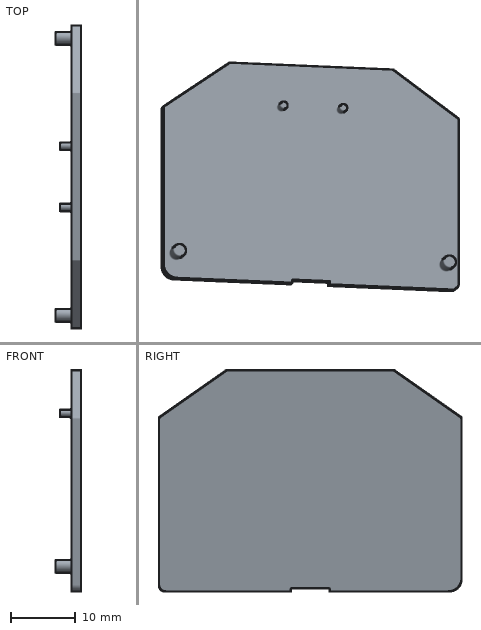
import cadquery as cq
import math

plate_thickness = 1.5
plate_width = 47.0
plate_height = 34.35
top_width = 26.0
shoulder_height = 27.0
shoulder_radius = 0.5
top_corner_radius = 0.2
large_corner_radius = 2.0
small_corner_radius = 1.0

notch_width = 6.0
notch_depth = 0.5
notch_radius = 0.2

large_peg_diameter = 2.0
large_peg_length = 2.5
large_peg_spacing = 43.0
large_peg_height = 3.9
small_peg_diameter = 1.2
small_peg_length = 1.8
small_peg_spacing = 9.5
small_peg_height = 27.65
peg_tip_radius = 0.2
peg_root_radius = 0.2

half_width = plate_width / 2
half_top = top_width / 2
half_notch = notch_width / 2

arc_middle_offset = 1 - math.sqrt(0.5)


def round_edges_at(body, y, z, radius):
    """Round the plate edge that runs along X through the point (y, z)."""
    edge = cq.selectors.NearestToPointSelector((plate_thickness / 2, y, z))
    return body.edges("|X").edges(edge).fillet(radius)


def make_plate():
    """Plate with sloped shoulders, a bottom notch and rounded corners."""
    body = (
        cq.Workplane("YZ")
        .moveTo(-half_width, 0)
        .lineTo(-half_notch, 0)
        .lineTo(-half_notch, notch_depth)
        .lineTo(half_notch, notch_depth)
        .lineTo(half_notch, 0)
        .lineTo(half_width, 0)
        .lineTo(half_width, shoulder_height)
        .lineTo(half_top, plate_height)
        .lineTo(-half_top, plate_height)
        .lineTo(-half_width, shoulder_height)
        .close()
        .extrude(plate_thickness)
    )
    body = round_edges_at(body, half_width, 0, large_corner_radius)
    body = round_edges_at(body, -half_width, 0, small_corner_radius)
    for side in (-1, 1):
        body = round_edges_at(body, side * half_width, shoulder_height, shoulder_radius)
        body = round_edges_at(body, side * half_top, plate_height, top_corner_radius)
        body = round_edges_at(body, side * half_notch, notch_depth, notch_radius)
    return body


def make_peg(diameter, length, y, z):
    """Peg pointing to -X, with a rounded tip and a concave fillet at its root."""
    radius = diameter / 2
    root_outer_radius = radius + peg_root_radius
    root_mid_offset = peg_root_radius * arc_middle_offset
    tip_mid_offset = peg_tip_radius * arc_middle_offset
    embed_depth = plate_thickness / 2
    section = (
        cq.Workplane("XZ")
        .moveTo(embed_depth, 0)
        .lineTo(embed_depth, root_outer_radius)
        .lineTo(0, root_outer_radius)
        .threePointArc((-root_mid_offset, radius + root_mid_offset), (-peg_root_radius, radius))
        .lineTo(peg_tip_radius - length, radius)
        .threePointArc((tip_mid_offset - length, radius - tip_mid_offset), (-length, radius - peg_tip_radius))
        .lineTo(-length, 0)
        .close()
    )
    return section.revolve(360, (0, 0, 0), (1, 0, 0)).translate((0, y, z))


result = make_plate()
for side in (-1, 1):
    large_peg_y = side * large_peg_spacing / 2
    small_peg_y = side * small_peg_spacing / 2
    result = result.union(make_peg(large_peg_diameter, large_peg_length, large_peg_y, large_peg_height))
    result = result.union(make_peg(small_peg_diameter, small_peg_length, small_peg_y, small_peg_height))